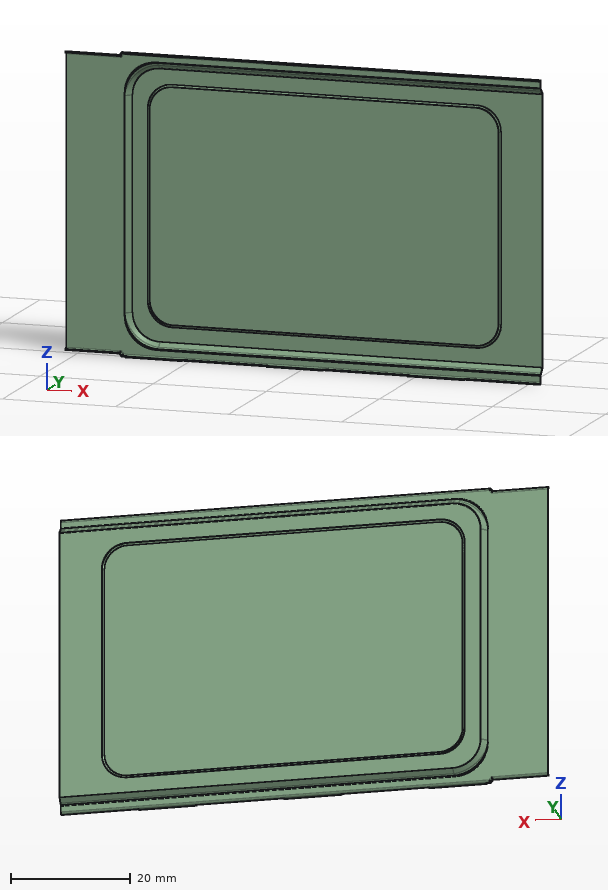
import cadquery as cq

length = 83.9
width = 52.2
depth = 2.0
sheet = 0.2

flange_reach = 0.4
bend_radius = 0.4
tab_reach = 0.81
tab_count = 3
tab_start = 10.7
tab_length = 9.9
tab_pitch = 25.0

tongue_width = 51.2
tongue_length = 9.6
step_length = 0.4

recess_depth = depth - tab_reach - sheet
recess_start = 10.3
recess_run_out = 8.4
front_wall_run = 1.1
back_wall_run = 1.0
wall_half_width = 24.5
wall_corner = 5.9

lip_half_width = 24.7
lip_corner = 5.7
lip_depth = 0.7
lip_run = 1.1

panel_start = 14.1
panel_length = 62.5
panel_width = 41.6
panel_corner = 4.4
panel_height = 0.2
panel_run = 0.4


def edge_outline(inset, overhang):
    """XZ outline of the sheet, inset across Z and lengthened by overhang at both X ends."""
    half_sheet = width / 2 - inset
    half_tongue = tongue_width / 2 - inset
    upper = [
        (length + overhang, half_sheet),
        (tongue_length + step_length, half_sheet),
        (tongue_length, half_tongue),
        (-overhang, half_tongue),
    ]
    lower = [(x, -z) for x, z in reversed(upper)]
    return upper + lower


def rounded_slab(inset, overhang, back, radius):
    """Slab from the flange tips to Y = back, its back side edges rounded as the bend."""
    slab = (
        cq.Workplane("XZ", origin=(0, back, 0))
        .polyline(edge_outline(inset, overhang))
        .close()
        .extrude(back + flange_reach)
    )
    return slab.faces(">Y").edges("not |Z").fillet(radius)


def frustum(base_y, rise, start, end, half_width, corner, run):
    """Rounded rectangle at base_y that narrows by run on all sides over a rise along Y."""
    base = cq.Sketch().rect(end - start, 2 * half_width).vertices().fillet(corner)
    tip = (
        cq.Sketch()
        .rect(end - start - 2 * run, 2 * (half_width - run))
        .vertices()
        .fillet(corner - run)
    )
    tip_place = cq.Location(cq.Vector(0, 0, -rise))
    plane = cq.Workplane("XZ", origin=((start + end) / 2, base_y, 0))
    return plane.placeSketch(base, tip.moved(tip_place)).loft()


def recess_wall(base_y, run):
    """Volume inside one side of the recess wall, from base_y down to the floor."""
    end = length + recess_run_out
    return frustum(base_y, recess_depth, recess_start, end, wall_half_width, wall_corner, run)


def recess_lip():
    """Volume of the shallower lip, which meets the wall at the closed -X end."""
    end = length + recess_run_out
    return frustum(0, lip_depth, recess_start, end, lip_half_width, lip_corner, lip_run)


def panel(base_y):
    """Raised panel volume standing on base_y."""
    end = panel_start + panel_length
    return frustum(base_y, -panel_height, panel_start, end, panel_width / 2, panel_corner, panel_run)


def tabs():
    """Locking tabs continuing the straight part of both flanges toward -Y."""
    tab_drop = tab_reach - flange_reach
    tab = cq.Workplane("XY").box(tab_length, tab_drop, sheet, centered=(False, False, True))
    flange_middle = (width - sheet) / 2
    places = [
        cq.Location(cq.Vector(tab_start + i * tab_pitch, -tab_reach, z))
        for i in range(tab_count)
        for z in (-flange_middle, flange_middle)
    ]
    return cq.Workplane("XY").newObject([tab.val().moved(place) for place in places]).combine()


end_overrun = 0.8
body = rounded_slab(0, 0, sheet, bend_radius)
body = body.cut(rounded_slab(sheet, end_overrun, 0, bend_radius - sheet))

within_length = cq.Workplane("XY").box(length, 2 * depth, width, centered=(False, True, True))
body = body.union(recess_wall(sheet, back_wall_run).intersect(within_length))
body = body.cut(recess_wall(0, front_wall_run)).cut(recess_lip())

body = body.union(panel(recess_depth)).cut(panel(recess_depth + sheet))

result = body.union(tabs())